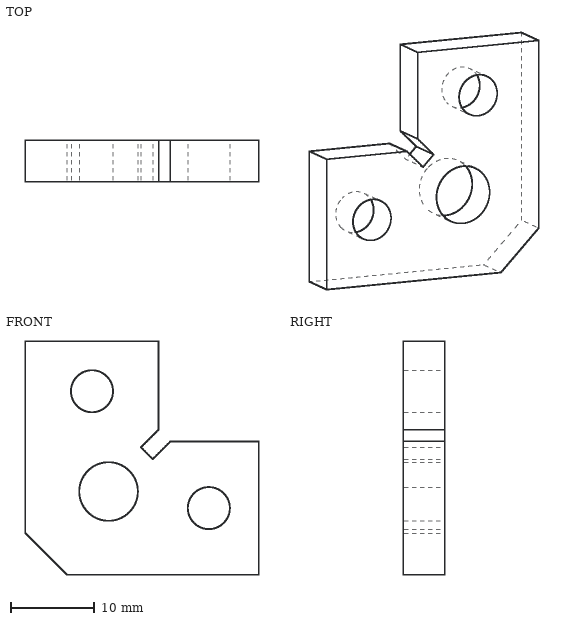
import cadquery as cq

side = 28.0
thickness = 5.0
arm_width = 16.0
corner_chamfer = 5.0
relief_width = 2.0
relief_depth = 2.0
small_hole_diameter = 5.0
large_hole_diameter = 7.0
small_hole_near = 8.0
small_hole_far = 22.0
large_hole_offset = 10.0


def xz_plane_sketch():
    """Workplane whose extrusions run from Y = thickness back to Y = 0."""
    return cq.Workplane("XZ", origin=(0, thickness, 0))


def l_plate():
    """L-shaped plate with its outer corner cut off at 45 degrees."""
    outline = [
        (corner_chamfer, 0),
        (side, 0),
        (side, arm_width),
        (arm_width, arm_width),
        (arm_width, side),
        (0, side),
        (0, corner_chamfer),
    ]
    return xz_plane_sketch().polyline(outline).close().extrude(thickness)


def corner_relief():
    """Square-ended slot cut diagonally into the inner corner."""
    return (
        xz_plane_sketch()
        .center(arm_width, arm_width)
        .transformed(rotate=(0, 0, 45))
        .rect(2 * relief_depth, relief_width)
        .extrude(thickness)
    )


def through_holes(centers, diameter):
    return xz_plane_sketch().pushPoints(centers).circle(diameter / 2).extrude(thickness)


small_hole_centers = [
    (small_hole_near, small_hole_far),
    (small_hole_far, small_hole_near),
]
large_hole_center = (large_hole_offset, large_hole_offset)

result = (
    l_plate()
    .cut(corner_relief())
    .cut(through_holes(small_hole_centers, small_hole_diameter))
    .cut(through_holes([large_hole_center], large_hole_diameter))
)